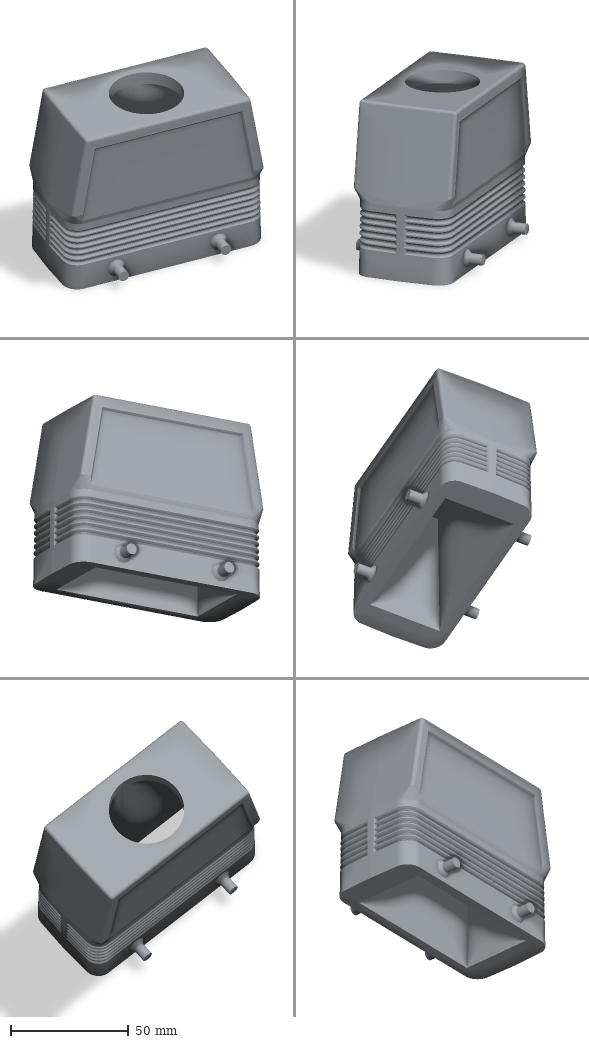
import cadquery as cq
import math

top_height = 76.0
collar_top = 33.1
flare_top = 38.7

skirt_half_width = 21.5
skirt_half_length = 46.75
skirt_fold = 0.03
skirt_corner_radius = 6.9
skirt_draft = 0.4

groove_count = 6
groove_pitch = 3.0
groove_mouth = 2.4
groove_floor = 0.6
groove_depth = 1.0
grip_bottom = 12.0
grip_top = grip_bottom + groove_count * groove_pitch
rib_face_width = 3.0
rib_root_width = 5.05

upper_half_width = 22.5
upper_foot_half_length = skirt_half_length - skirt_draft
upper_top_half_length = 39.0
upper_fold = 0.015
edge_radius = 1.4
end_slope = (upper_foot_half_length - upper_top_half_length) / (top_height - collar_top)

panel_top = 70.7
panel_end_margin = 5.1
panel_depth = 0.9
panel_wall_taper = 45

roof_thickness = 5.9
cavity_half_length = 34.8
cavity_roof_half_width = 15.7
cavity_rim_half_width = 16.6
entry_diameter = 32.2

pin_tip = 29.0
pin_diameter = 4.8
pin_height = 6.5
pin_offset = 24.0
pin_embed = 0.9
pin_collar_diameter = 7.9
pin_collar_length = (pin_collar_diameter - pin_diameter) / 2


def folded_outline(z, half_width, half_length, fold, radius):
    """Closed outline at height z: a rectangle with folded ends and rounded corners."""
    turn = math.pi / 2 - math.atan(fold)
    corner_y = half_length - fold * half_width
    center_x = half_width - radius
    center_y = corner_y - radius * math.tan(turn / 2)

    def corner_point(angle, x_side, y_side):
        x = center_x + radius * math.cos(angle)
        y = center_y + radius * math.sin(angle)
        return (x_side * x, y_side * y)

    outline = cq.Workplane("XY", origin=(0, 0, z)).moveTo(*corner_point(0, 1, -1))
    outline = outline.lineTo(*corner_point(0, 1, 1))
    outline = outline.threePointArc(corner_point(turn / 2, 1, 1), corner_point(turn, 1, 1))
    outline = outline.lineTo(0, half_length)
    outline = outline.lineTo(*corner_point(turn, -1, 1))
    outline = outline.threePointArc(corner_point(turn / 2, -1, 1), corner_point(0, -1, 1))
    outline = outline.lineTo(*corner_point(0, -1, -1))
    outline = outline.threePointArc(corner_point(turn / 2, -1, -1), corner_point(turn, -1, -1))
    outline = outline.lineTo(0, -half_length)
    outline = outline.lineTo(*corner_point(turn, 1, -1))
    outline = outline.threePointArc(corner_point(turn / 2, 1, -1), corner_point(0, 1, -1))
    return outline.close().val()


def skirt_outline(z, inset=0):
    total_inset = inset + skirt_draft * z / collar_top
    return folded_outline(
        z,
        skirt_half_width - total_inset,
        skirt_half_length - total_inset,
        skirt_fold,
        skirt_corner_radius - inset,
    )


def ruled_solid(outlines):
    return cq.Workplane(cq.Solid.makeLoft(outlines, True))


def upper_half_length(z):
    return upper_foot_half_length - end_slope * (z - collar_top)


def make_skirt():
    """Drafted skirt with the grip grooves and the plain rib at each end."""
    outlines = [skirt_outline(0)]
    for index in range(groove_count):
        center = grip_bottom + (index + 0.5) * groove_pitch
        outlines.append(skirt_outline(center - groove_mouth / 2))
        outlines.append(skirt_outline(center - groove_floor / 2, groove_depth))
        outlines.append(skirt_outline(center + groove_floor / 2, groove_depth))
        outlines.append(skirt_outline(center + groove_mouth / 2))
    outlines.append(skirt_outline(collar_top))
    grooved = ruled_solid(outlines)

    plain = ruled_solid([skirt_outline(0), skirt_outline(collar_top)])
    flank_slope = (rib_root_width - rib_face_width) / 2 / groove_depth
    rib_depth = 2 * groove_depth
    root_half_length = skirt_half_length - rib_depth
    root_half_width = rib_face_width / 2 + rib_depth * flank_slope
    rib_zone = (
        cq.Workplane("XY", origin=(0, 0, grip_bottom))
        .polyline([
            (rib_face_width / 2, skirt_half_length),
            (root_half_width, root_half_length),
            (root_half_width, -root_half_length),
            (rib_face_width / 2, -skirt_half_length),
            (-rib_face_width / 2, -skirt_half_length),
            (-root_half_width, -root_half_length),
            (-root_half_width, root_half_length),
            (-rib_face_width / 2, skirt_half_length),
        ])
        .close()
        .extrude(grip_top - grip_bottom)
    )
    return grooved.union(plain.intersect(rib_zone))


def make_upper():
    """Upper housing, trimmed below by the flare that narrows it to the skirt."""
    def sharp_outline(z):
        ridge = upper_half_length(z)
        corner = ridge - upper_fold * upper_half_width
        points = [
            (upper_half_width, -corner), (upper_half_width, corner), (0, ridge),
            (-upper_half_width, corner), (-upper_half_width, -corner), (0, -ridge),
        ]
        return cq.Workplane("XY", origin=(0, 0, z)).polyline(points).close().val()

    block = ruled_solid([sharp_outline(collar_top), sharp_outline(top_height)])
    side_edges = block.faces("<X or >X").edges("not |Y")
    top_edges = block.faces(">Z").edges()
    block = side_edges.add(top_edges).fillet(edge_radius)

    flare_half_length = upper_half_length(flare_top) + (skirt_fold - upper_fold) * upper_half_width
    flare = ruled_solid([
        skirt_outline(collar_top),
        folded_outline(flare_top, upper_half_width, flare_half_length, skirt_fold, edge_radius),
    ])
    above_flare = cq.Workplane("XY", origin=(0, 0, flare_top)).box(
        2 * upper_half_width,
        2 * upper_foot_half_length,
        top_height - flare_top,
        centered=(True, True, False),
    )
    return block.intersect(flare).union(block.intersect(above_flare))


def make_side_panel():
    """Tapered recess in the +X side that runs out through the flare."""
    top_half = upper_half_length(panel_top) - panel_end_margin
    foot_half = upper_half_length(collar_top) - panel_end_margin
    return (
        cq.Workplane("YZ", origin=(upper_half_width, 0, 0))
        .polyline([
            (-foot_half, collar_top), (foot_half, collar_top),
            (top_half, panel_top), (-top_half, panel_top),
        ])
        .close()
        .extrude(-panel_depth, taper=panel_wall_taper)
    )


def make_cavity():
    """Interior open at the rim, its long walls spreading slightly toward the rim."""
    roof = top_height - roof_thickness
    return (
        cq.Workplane("XZ", origin=(0, cavity_half_length, 0))
        .polyline([
            (-cavity_rim_half_width, 0), (cavity_rim_half_width, 0),
            (cavity_roof_half_width, roof), (-cavity_roof_half_width, roof),
        ])
        .close()
        .extrude(2 * cavity_half_length)
    )


def make_pin():
    """Locking pin on the +X side with a conical foot buried in the wall."""
    root = skirt_half_width - pin_embed
    foot_radius = pin_collar_diameter / 2
    return (
        cq.Workplane("XY")
        .polyline([
            (root, 0), (root, foot_radius), (skirt_half_width, foot_radius),
            (skirt_half_width + pin_collar_length, pin_diameter / 2),
            (pin_tip, pin_diameter / 2), (pin_tip, 0),
        ])
        .close()
        .revolve(360, (0, 0, 0), (1, 0, 0))
        .translate((0, pin_offset, pin_height))
    )


panel = make_side_panel()
entry = cq.Workplane("XY").circle(entry_diameter / 2).extrude(top_height)

body = make_skirt().union(make_upper())
body = body.cut(panel).cut(panel.mirror("YZ"))
body = body.cut(make_cavity()).cut(entry)

pin = make_pin()
pins = pin.union(pin.mirror("XZ"))
result = body.union(pins).union(pins.mirror("YZ"))